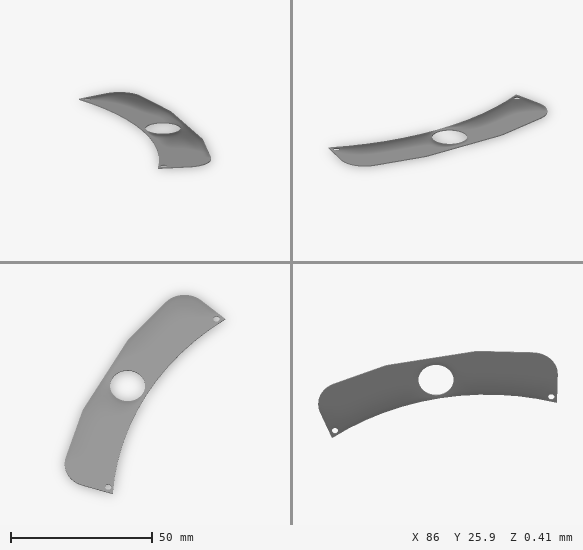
import cadquery as cq
import math

length = 86.0
depth = 25.9
thickness = 0.41

flat_half_width = 16.3
tip_half_width = 40.5
arch_rise = 9.3
slope_angle = math.radians(12.0)
corner_radius = 9.0
shoulder_blend_radius = 8.6

window_diameter = 12.5
window_setback = 9.0
pin_hole_diameter = 2.2
pin_hole_x = 38.95
pin_hole_y = 2.75

corner_x = length / 2 - corner_radius
slope_cos = math.cos(slope_angle)
slope_sin = math.sin(slope_angle)
slope_tan = math.tan(slope_angle)
shoulder_tangent_x = corner_x + corner_radius * slope_sin
shoulder_tangent_y = depth - (shoulder_tangent_x - flat_half_width) * slope_tan
corner_y = shoulder_tangent_y - corner_radius * slope_cos
end_tangent_x = corner_x + corner_radius * slope_cos
end_tangent_y = corner_y - corner_radius * slope_sin
corner_mid = corner_radius * math.sqrt(0.5)


def make_plate():
    """Symmetric plate, with the front tips on Y = 0."""
    plate = (
        cq.Workplane("XY")
        .moveTo(-tip_half_width, 0)
        .threePointArc((0, arch_rise), (tip_half_width, 0))
        .lineTo(end_tangent_x, end_tangent_y)
        .threePointArc(
            (corner_x + corner_mid, corner_y + corner_mid),
            (shoulder_tangent_x, shoulder_tangent_y),
        )
        .lineTo(flat_half_width, depth)
        .lineTo(-flat_half_width, depth)
        .lineTo(-shoulder_tangent_x, shoulder_tangent_y)
        .threePointArc(
            (-corner_x - corner_mid, corner_y + corner_mid),
            (-end_tangent_x, end_tangent_y),
        )
        .close()
        .extrude(thickness)
    )
    back_corners = cq.selectors.BoxSelector(
        (-flat_half_width - 0.9, depth - 0.9, -0.9),
        (flat_half_width + 0.9, depth + 0.9, thickness + 0.9),
    )
    return plate.edges("|Z").edges(back_corners).fillet(shoulder_blend_radius)


def cut_holes(plate):
    """Central window and one pin hole near each tip, all through."""
    window = (
        cq.Workplane("XY")
        .center(0, depth - window_setback)
        .circle(window_diameter / 2)
        .extrude(thickness)
    )
    pin_holes = (
        cq.Workplane("XY")
        .pushPoints([(-pin_hole_x, pin_hole_y), (pin_hole_x, pin_hole_y)])
        .circle(pin_hole_diameter / 2)
        .extrude(thickness)
    )
    return plate.cut(window).cut(pin_holes)


result = cut_holes(make_plate())